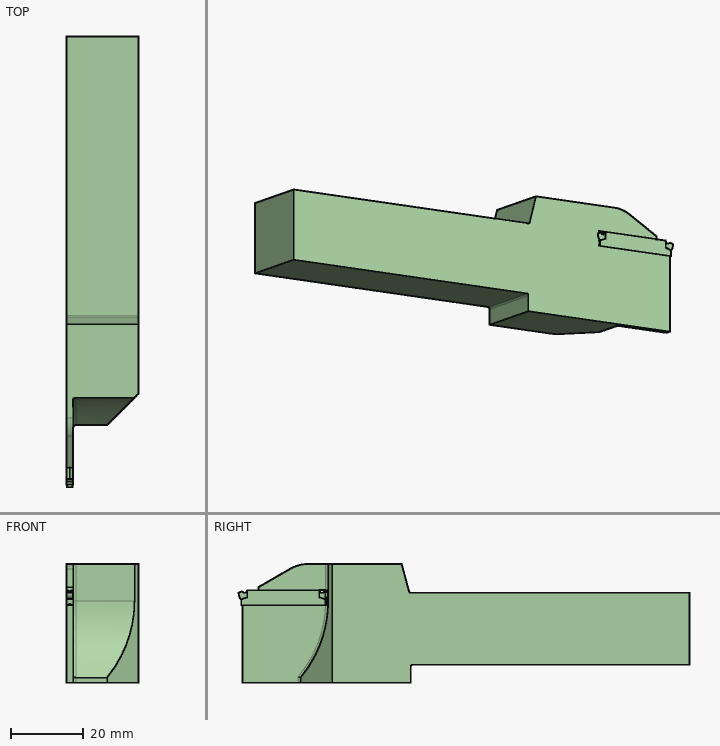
import cadquery as cq
import math


tool_length = 125.0
shank_size = 20.0
shank_bottom = 5.0
shank_top = shank_bottom + shank_size
head_top = 33.0
shoulder_y = 47.8
head_top_back_y = 45.3
head_back_angle = math.radians(15)
root_radius = 0.5

blade_thickness = 1.9
blade_front_y = 1.1
jaw_front_y = 5.5
nose_slope = math.radians(30)
nose_radius = 10.0
nose_arc_start_y = 19.4

relief_back_y = 24.9
relief_arc_top = 22.8
relief_foot_y = 17.3
relief_foot_top = 1.5
blade_fillet = 0.8
corner_chamfer_y = 26.0

insert_length = 24.9
seat_bottom = 21.5
seat_top = 25.8
seat_back_y = 24.5
ridge_height = 0.4
tip_z = shank_top
heel_y = 0.8
heel_top = 23.1
crest_height = 0.4
head_length = 2.5
head_relief_back_z = 23.8
head_relief = 0.1


def holder_block():
    """Side outline of the whole holder, as thick as the shank."""
    slope_start_y = nose_arc_start_y - nose_radius * math.sin(nose_slope)
    slope_start_z = head_top - nose_radius * (1 - math.cos(nose_slope))
    half_slope = nose_slope / 2
    arc_mid = (
        nose_arc_start_y - nose_radius * math.sin(half_slope),
        head_top - nose_radius * (1 - math.cos(half_slope)),
    )
    jaw_top = slope_start_z - (slope_start_y - jaw_front_y) * math.tan(nose_slope)
    upper_root_y = head_top_back_y + (head_top - shank_top) * math.tan(head_back_angle)
    block = (
        cq.Workplane("YZ")
        .moveTo(blade_front_y, 0)
        .lineTo(shoulder_y, 0)
        .lineTo(shoulder_y, shank_bottom)
        .lineTo(tool_length, shank_bottom)
        .lineTo(tool_length, shank_top)
        .lineTo(upper_root_y, shank_top)
        .lineTo(head_top_back_y, head_top)
        .lineTo(nose_arc_start_y, head_top)
        .threePointArc(arc_mid, (slope_start_y, slope_start_z))
        .lineTo(jaw_front_y, jaw_top)
        .lineTo(jaw_front_y, seat_bottom)
        .lineTo(blade_front_y, seat_bottom)
        .close()
        .extrude(shank_size)
    )
    for root_y, root_z in [(shoulder_y, shank_bottom), (upper_root_y, shank_top)]:
        root = cq.NearestToPointSelector((shank_size / 2, root_y, root_z))
        block = block.edges("|X").edges(root).fillet(root_radius)
    return block


def blade_relief():
    """Material removed beside the blade; its rounded edge leaves the blade fillet."""
    run = relief_back_y - relief_foot_y
    drop = relief_arc_top - relief_foot_top
    radius = (run**2 + drop**2) / (2 * run)
    half_angle = math.asin(drop / radius) / 2
    arc_mid = (
        relief_back_y - radius * (1 - math.cos(half_angle)),
        relief_arc_top - radius * math.sin(half_angle),
    )
    relief = (
        cq.Workplane("YZ", origin=(blade_thickness, 0, 0))
        .lineTo(relief_foot_y, 0)
        .lineTo(relief_foot_y, relief_foot_top)
        .threePointArc(arc_mid, (relief_back_y, relief_arc_top))
        .lineTo(relief_back_y, head_top)
        .lineTo(0, head_top)
        .close()
        .extrude(shank_size)
    )
    blade_edges = relief.faces("<X").edges().filter(
        lambda edge: edge.Center().y > relief_foot_y - blade_fillet
    )
    return blade_edges.fillet(blade_fillet)


def corner_chamfer():
    """45 degree vertical cut across the far front corner, stopping clear of the blade."""
    leg = shank_size - blade_thickness - blade_fillet
    return (
        cq.Workplane("XY")
        .moveTo(shank_size, corner_chamfer_y)
        .lineTo(shank_size - leg, corner_chamfer_y - leg)
        .lineTo(shank_size, corner_chamfer_y - leg)
        .close()
        .extrude(head_top)
    )


def grooved_bar(end_y):
    """Bar across the blade thickness with a V groove along its top and bottom."""
    middle_x = blade_thickness / 2
    return (
        cq.Workplane("XZ")
        .moveTo(0, seat_bottom)
        .lineTo(middle_x, seat_bottom + ridge_height)
        .lineTo(blade_thickness, seat_bottom)
        .lineTo(blade_thickness, seat_top)
        .lineTo(middle_x, seat_top - ridge_height)
        .lineTo(0, seat_top)
        .close()
        .extrude(-end_y)
    )


def double_ended(front_half):
    """Closed Y-Z outline from a front half and its mirror about mid-length."""
    back_half = [(insert_length - y, z) for y, z in reversed(front_half)]
    return cq.Workplane("YZ").polyline(front_half + back_half).close().extrude(blade_thickness)


def insert_blank():
    """Insert with its two cutting ends, before the heads are relieved at the sides."""
    front_half = [
        (heel_y, seat_bottom),
        (heel_y, heel_top),
        (0.4, 23.5),
        (0.1, 24.1),
        (0, tip_z),
        (0.9, tip_z + crest_height),
        (1.6, tip_z),
        (2.1, tip_z),
        (head_length, seat_top),
    ]
    return grooved_bar(insert_length).intersect(double_ended(front_half))


def head_side_relief():
    """Shallow side cuts that narrow both cutting heads."""
    outline = [
        (0, heel_top),
        (heel_y, heel_top),
        (head_length, head_relief_back_z),
        (head_length, seat_top),
        (0, seat_top),
    ]
    front = cq.Workplane("YZ").polyline(outline).close().extrude(head_relief)
    back = front.mirror("XZ").translate((0, insert_length, 0))
    near_side = front.union(back)
    far_side = near_side.translate((blade_thickness - head_relief, 0, 0))
    return near_side.union(far_side)


def make_insert():
    """Double-ended cutting insert."""
    return insert_blank().cut(head_side_relief())


def seat():
    """Opening for the insert, with clear space above its rear cutting head."""
    head_start_y = insert_length - head_length
    head_clearance = cq.Workplane("XY").box(
        blade_thickness, seat_back_y - head_start_y, seat_top - tip_z, centered=False
    )
    head_clearance = head_clearance.translate((0, head_start_y, tip_z))
    return grooved_bar(seat_back_y).union(head_clearance).union(insert_blank())


def make_holder():
    """Shank, head and blade in one piece."""
    return holder_block().cut(blade_relief()).cut(corner_chamfer()).cut(seat())


holder = make_holder()
insert = make_insert()
result = cq.Compound.makeCompound([holder.val(), insert.val()])